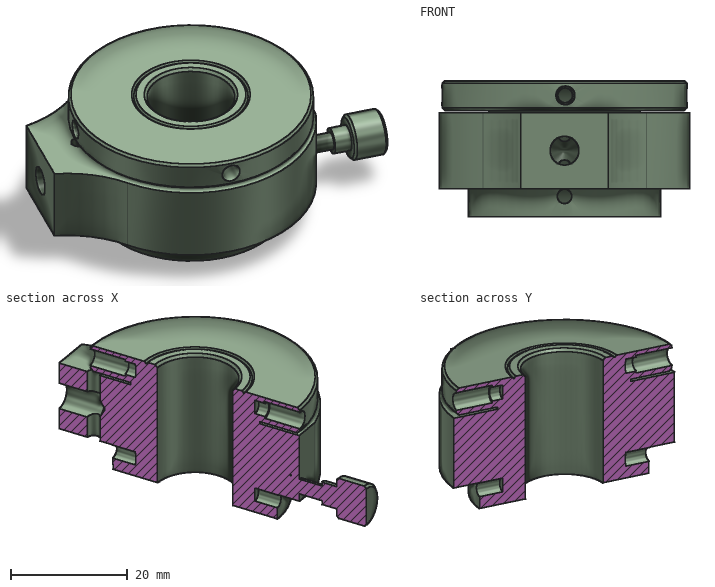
import cadquery as cq
import math

base_height = 4.8
body_height = 13.05
neck_height = 0.3
total_height = 23.3
body_top = base_height + body_height
disc_bottom = body_top + neck_height
disc_height = total_height - disc_bottom

base_diameter = 33.0
body_diameter = 43.0
neck_diameter = 26.0
disc_diameter = 42.0
disc_radius = disc_diameter / 2
body_radius = body_diameter / 2
flat_y = 20.9
disc_top_chamfer = 0.45
disc_bottom_chamfer = 0.55

bore_diameter = 15.0
bore_chamfer = 0.5
seam_diameter = 19.6
seam_groove_width = 0.75

foot_width = 15.0
foot_y = -27.2
foot_blend_radius = 20.0
foot_hole_diameter = 4.9
foot_hole_z = body_top - body_height / 2
foot_hole_end_y = -19.6
drill_tip_angle = 118
vent_diameter = 2.5
vent_y = -20.3

screw_z = 7.75
screw_end_y = 34.35
head_diameter = 8.0
head_length = 6.05
head_chamfer = 0.45
collar_diameter = 4.5
collar_length = 2.95
shank_diameter = 3.0
shank_embedded_length = 0.6

radial_hole_count = 4
disc_hole_mouth_diameter = 3.2
disc_hole_diameter = 2.5
disc_hole_z = 20.8
disc_hole_step_diameter = 28.0
disc_turn_angle = 0.5
base_hole_diameter = 2.45
base_hole_z = 3.5
hole_floor_diameter = 24.0


def disk(diameter, bottom, height):
    return cq.Workplane("XY").workplane(offset=bottom).circle(diameter / 2).extrude(height)


def rod_y(diameter, start_y, end_y, z):
    """Cylinder along Y between two positions."""
    start = cq.Workplane("XZ", origin=(0, start_y, z))
    return start.circle(diameter / 2).extrude(start_y - end_y)


def make_body():
    """Round body with a flat at the back and a foot blended in at the front."""
    half_foot = foot_width / 2
    corner_distance = math.hypot(half_foot, foot_y)
    center_distance = body_radius + foot_blend_radius
    corner_angle = math.atan2(foot_y, half_foot)
    cosine = (corner_distance**2 + center_distance**2 - foot_blend_radius**2) / (
        2 * corner_distance * center_distance
    )
    blend_angle = corner_angle + math.acos(cosine)
    tangent_x = body_radius * math.cos(blend_angle)
    tangent_y = body_radius * math.sin(blend_angle)
    center_x = center_distance * math.cos(blend_angle)
    center_y = center_distance * math.sin(blend_angle)

    tangent_angle = math.atan2(tangent_y - center_y, tangent_x - center_x) % math.tau
    end_angle = math.atan2(foot_y - center_y, half_foot - center_x) % math.tau
    middle_angle = (tangent_angle + end_angle) / 2
    middle_x = center_x + foot_blend_radius * math.cos(middle_angle)
    middle_y = center_y + foot_blend_radius * math.sin(middle_angle)

    half_flat = math.sqrt(body_radius**2 - flat_y**2)
    return (
        cq.Workplane("XY")
        .workplane(offset=base_height)
        .moveTo(-half_foot, foot_y)
        .lineTo(half_foot, foot_y)
        .threePointArc((middle_x, middle_y), (tangent_x, tangent_y))
        .threePointArc((body_radius, 0), (half_flat, flat_y))
        .lineTo(-half_flat, flat_y)
        .threePointArc((-body_radius, 0), (-tangent_x, tangent_y))
        .threePointArc((-middle_x, middle_y), (-half_foot, foot_y))
        .close()
        .extrude(body_height)
    )


def make_disc():
    disc = disk(disc_diameter, disc_bottom, disc_height)
    return disc.faces(">Z").chamfer(disc_top_chamfer).faces("<Z").chamfer(disc_bottom_chamfer)


def make_thumbscrew():
    head_y = screw_end_y - head_length
    collar_y = head_y - collar_length
    head = rod_y(head_diameter, head_y, screw_end_y, screw_z).edges().chamfer(head_chamfer)
    collar = rod_y(collar_diameter, collar_y, head_y, screw_z)
    shank = rod_y(shank_diameter, flat_y - shank_embedded_length, collar_y, screw_z)
    return head.union(collar).union(shank)


def make_foot_holes():
    """Drilled hole with a conical end, crossed by a vertical through hole."""
    radius = foot_hole_diameter / 2
    tip_length = radius / math.tan(math.radians(drill_tip_angle / 2))
    drill = (
        cq.Workplane("XY", origin=(0, 0, foot_hole_z))
        .moveTo(0, foot_y)
        .lineTo(radius, foot_y)
        .lineTo(radius, foot_hole_end_y)
        .lineTo(0, foot_hole_end_y + tip_length)
        .close()
        .revolve(360, (0, 0, 0), (0, 1, 0))
    )
    vent = disk(vent_diameter, base_height, body_height).translate((0, vent_y, 0))
    return drill.union(vent)


def make_radial_holes(diameter, floor_diameter, z, turn_angle=0):
    """Evenly spaced radial holes that stop on a round floor."""
    core = disk(floor_diameter, 0, total_height)
    hole = rod_y(diameter, -disc_radius, 0, z).cut(core)
    holes = cq.Workplane("XY")
    for index in range(radial_hole_count):
        angle = turn_angle + index * 360 / radial_hole_count
        holes = holes.union(hole.rotate((0, 0, 0), (0, 0, 1), angle))
    return holes


def make_seam_groove():
    """V groove in the top face where the tube meets the disc."""
    seam_radius = seam_diameter / 2
    half_width = seam_groove_width / 2
    return (
        cq.Workplane("XZ")
        .moveTo(seam_radius - half_width, total_height)
        .lineTo(seam_radius + half_width, total_height)
        .lineTo(seam_radius, total_height - half_width)
        .close()
        .revolve(360, (0, 0, 0), (0, 1, 0))
    )


def make_bore():
    radius = bore_diameter / 2
    countersink = (
        cq.Workplane("XY")
        .workplane(offset=total_height)
        .circle(radius + bore_chamfer)
        .extrude(-bore_chamfer, taper=45)
    )
    return disk(bore_diameter, 0, total_height).union(countersink)


result = (
    disk(base_diameter, 0, base_height)
    .union(make_body())
    .union(disk(neck_diameter, body_top, neck_height))
    .union(make_disc())
    .union(make_thumbscrew())
    .cut(make_foot_holes())
    .cut(make_radial_holes(base_hole_diameter, hole_floor_diameter, base_hole_z))
    .cut(make_radial_holes(disc_hole_mouth_diameter, disc_hole_step_diameter, disc_hole_z, disc_turn_angle))
    .cut(make_radial_holes(disc_hole_diameter, hole_floor_diameter, disc_hole_z, disc_turn_angle))
    .cut(make_seam_groove())
    .cut(make_bore())
)